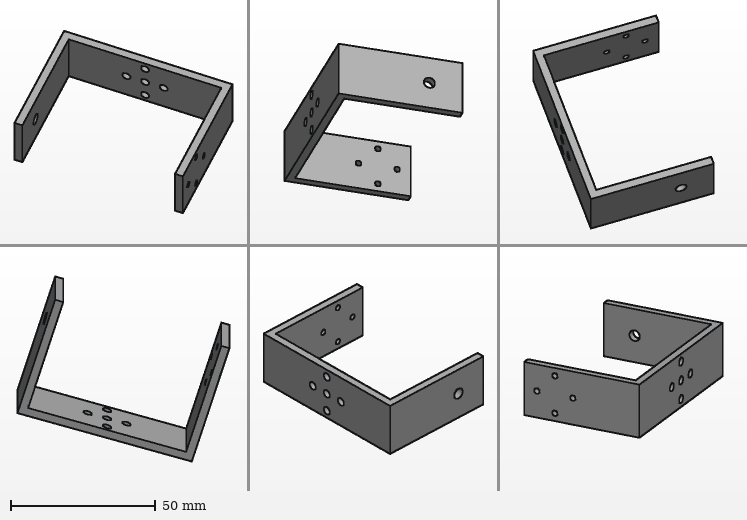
import cadquery as cq

width = 63.2
depth = 45.0
height = 20.0
thickness = 3.0

back_hole_diameter = 3.0
pivot_hole_diameter = 4.0
horn_hole_diameter = 2.0
hole_spacing = 7.0
pivot_from_front = 12.0

pivot_y = pivot_from_front - depth / 2
cross_arms = [
    (hole_spacing, 0),
    (-hole_spacing, 0),
    (0, hole_spacing),
    (0, -hole_spacing),
]


def make_bracket():
    """Back plate along +Y with an arm at each end, open toward -Y."""
    block = cq.Workplane("XY").box(width, depth, height)
    opening = (
        cq.Workplane("XY")
        .box(width - 2 * thickness, depth - thickness, height)
        .translate((0, -thickness / 2, 0))
    )
    return block.cut(opening)


def back_holes():
    """Cross of five holes through the back plate."""
    return (
        cq.Workplane("XZ", origin=(0, depth / 2, 0))
        .pushPoints([(0, 0)] + cross_arms)
        .circle(back_hole_diameter / 2)
        .extrude(thickness)
    )


def arm_holes(arm_start_x, points, diameter):
    """Holes through one arm, placed about the pivot axis."""
    return (
        cq.Workplane("YZ", origin=(arm_start_x, pivot_y, 0))
        .pushPoints(points)
        .circle(diameter / 2)
        .extrude(thickness)
    )


pivot_hole = arm_holes(-width / 2, [(0, 0)], pivot_hole_diameter)
horn_holes = arm_holes(width / 2 - thickness, cross_arms, horn_hole_diameter)

result = make_bracket().cut(back_holes()).cut(pivot_hole).cut(horn_holes)